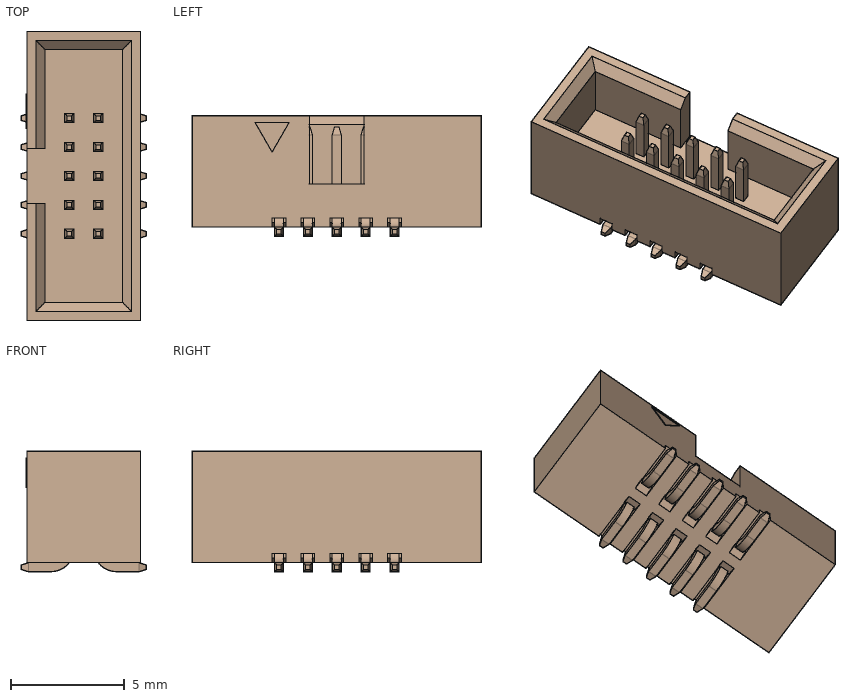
import cadquery as cq
import math


body_width = 5.0
body_length = 12.7
body_height = 4.9
rim_thickness = 0.4
mouth_chamfer = 0.4
cavity_depth = 3.0

notch_width = 2.4

marker_width = 1.5
marker_height = 1.3
marker_thickness = 0.03
marker_center_y = 2.84
marker_top_gap = 0.3

pitch = 1.27
contacts_per_row = 5
wire = 0.4
tip_width = 0.2
pin_tip_length = 0.35
pin_top_gap = 0.5
leg_span = 5.51
leg_tip_length = 0.32
outer_bend_radius = 1.0

relief_width = 0.6
relief_height = 0.4
relief_wall_height = 0.2
relief_slope_run = 0.4

body_bottom = wire
body_top = body_bottom + body_height
floor_z = body_top - cavity_depth
wall_thickness = rim_thickness + mouth_chamfer
cavity_width = body_width - 2 * wall_thickness
cavity_length = body_length - 2 * wall_thickness
row_x = pitch / 2
pin_outer_x = row_x + wire / 2
pin_inner_x = row_x - wire / 2
pin_shoulder_z = body_top - pin_top_gap - pin_tip_length
leg_shoulder_x = leg_span / 2 - leg_tip_length
inner_bend_radius = outer_bend_radius - wire
bend_center_x = pin_inner_x + outer_bend_radius
contact_ys = [(i - (contacts_per_row - 1) / 2) * pitch for i in range(contacts_per_row)]


def make_housing():
    """Open-topped box with a chamfered mouth and a notch down to the cavity floor."""
    housing = cq.Workplane("XY", origin=(0, 0, body_bottom)).box(
        body_width, body_length, body_height, centered=(True, True, False)
    )
    cavity = cq.Workplane("XY", origin=(0, 0, floor_z)).box(
        cavity_width, cavity_length, cavity_depth, centered=(True, True, False)
    )
    mouth = (
        cq.Workplane("XY", origin=(0, 0, body_top - mouth_chamfer))
        .rect(cavity_width, cavity_length)
        .workplane(offset=mouth_chamfer)
        .rect(cavity_width + 2 * mouth_chamfer, cavity_length + 2 * mouth_chamfer)
        .loft(ruled=True)
    )
    notch = cq.Workplane("XY", origin=(-body_width / 2, 0, floor_z)).box(
        body_width / 2, notch_width, cavity_depth, centered=(False, True, False)
    )
    return housing.cut(cavity).cut(mouth).cut(notch)


def make_marker():
    """Downward-pointing triangle standing slightly proud of the -X wall."""
    top_z = body_top - marker_top_gap
    return (
        cq.Workplane("YZ", origin=(-body_width / 2, 0, 0))
        .moveTo(marker_center_y - marker_width / 2, top_z)
        .lineTo(marker_center_y + marker_width / 2, top_z)
        .lineTo(marker_center_y, top_z - marker_height)
        .close()
        .extrude(-marker_thickness)
    )


def make_relief():
    """Pocket over one +X leg: flat ceiling, short back wall, then a slope to the underside."""
    ceiling_z = body_bottom + relief_height
    slope_start_z = ceiling_z - relief_wall_height
    return (
        cq.Workplane("XZ")
        .moveTo(body_width / 2, body_bottom)
        .lineTo(body_width / 2, ceiling_z)
        .lineTo(row_x, ceiling_z)
        .lineTo(row_x, slope_start_z)
        .lineTo(row_x - relief_slope_run, body_bottom)
        .close()
        .extrude(relief_width / 2, both=True)
    )


def make_contact():
    """One +X contact: upright pin, quarter bend and flat leg, with both ends tapered."""
    bend_angle = math.radians(45)
    bend_x = math.sin(bend_angle)
    bend_z = math.cos(bend_angle)
    wire_path = (
        cq.Workplane("XZ")
        .moveTo(pin_inner_x, pin_shoulder_z)
        .lineTo(pin_outer_x, pin_shoulder_z)
        .lineTo(pin_outer_x, outer_bend_radius)
        .threePointArc(
            (bend_center_x - inner_bend_radius * bend_x, outer_bend_radius - inner_bend_radius * bend_z),
            (bend_center_x, wire),
        )
        .lineTo(leg_shoulder_x, wire)
        .lineTo(leg_shoulder_x, 0)
        .lineTo(bend_center_x, 0)
        .threePointArc(
            (bend_center_x - outer_bend_radius * bend_x, outer_bend_radius - outer_bend_radius * bend_z),
            (pin_inner_x, outer_bend_radius),
        )
        .close()
        .extrude(wire / 2, both=True)
    )
    pin_tip = make_tip(cq.Workplane("XY", origin=(row_x, 0, pin_shoulder_z)), pin_tip_length)
    leg_tip = make_tip(cq.Workplane("YZ", origin=(leg_shoulder_x, 0, wire / 2)), leg_tip_length)
    return wire_path.union(pin_tip).union(leg_tip)


def make_tip(base_plane, length):
    """Square taper from the full wire section to the blunt end."""
    return (
        base_plane.rect(wire, wire)
        .workplane(offset=length)
        .rect(tip_width, tip_width)
        .loft(ruled=True)
    )


def place_both_rows(shape):
    """Copies of a +X shape at every contact position, with the -X row mirrored."""
    mirrored = shape.mirror("YZ")
    return [
        side.translate((0, y, 0))
        for y in contact_ys
        for side in (shape, mirrored)
    ]


result = make_housing().union(make_marker())
for relief in place_both_rows(make_relief()):
    result = result.cut(relief)
for contact in place_both_rows(make_contact()):
    result = result.union(contact)